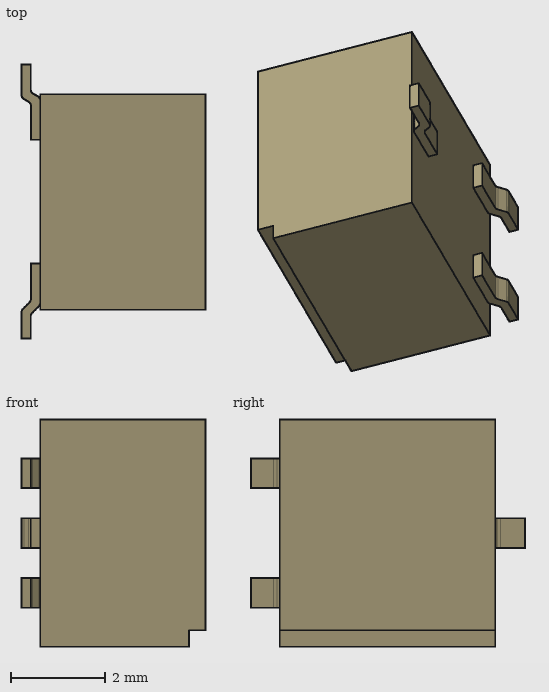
import cadquery as cq
import math

body_depth = 3.51
body_width = 4.58
body_height = 4.83
notch_size = 0.35

lead_thickness = 0.2
lead_width = 0.635
lead_length = 1.6
bend_radius = 0.1
front_lead_pitch = 2.54

front_overhang = 0.61
front_pad_length = 0.8
front_bend_angle = 45

rear_overhang = 0.63
rear_pad_length = 0.78
rear_bend_angle = 60


def make_body():
    block = cq.Workplane("XY").box(body_depth, body_width, body_height, centered=(False, True, True))
    notch = (
        cq.Workplane("XY")
        .box(notch_size, body_width, notch_size, centered=(False, True, False))
        .translate((body_depth - notch_size, 0, -body_height / 2))
    )
    return block.cut(notch)


def make_lead(side, overhang, pad_length, bend_angle, z_center):
    """Lead whose foot projects past the body towards side (+1 for +Y, -1 for -Y)."""
    angle = math.radians(bend_angle)
    pad_end = body_width / 2 + overhang - lead_length
    pad_bend = pad_end + pad_length
    foot_bend = pad_bend + lead_thickness / math.tan(angle)
    foot_end = pad_end + lead_length
    inner_shift = lead_thickness * math.tan(angle / 2)

    face_x = 0
    middle_x = -lead_thickness
    outer_x = -2 * lead_thickness
    bends = [
        (middle_x, pad_bend),
        (outer_x, foot_bend),
        (middle_x, foot_bend + inner_shift),
        (face_x, pad_bend + inner_shift),
    ]
    outline = [
        (face_x, pad_end),
        (middle_x, pad_end),
        bends[0],
        bends[1],
        (outer_x, foot_end),
        (middle_x, foot_end),
        bends[2],
        bends[3],
    ]
    lead = (
        cq.Workplane("XY", origin=(0, 0, z_center - lead_width / 2))
        .polyline([(x, side * y) for x, y in outline])
        .close()
        .extrude(lead_width)
    )
    for x, y in bends:
        bend_edge = cq.selectors.NearestToPointSelector((x, side * y, z_center))
        lead = lead.edges("|Z").edges(bend_edge).fillet(bend_radius)
    return lead


result = make_body().union(make_lead(1, rear_overhang, rear_pad_length, rear_bend_angle, 0))
for z_center in (-front_lead_pitch / 2, front_lead_pitch / 2):
    result = result.union(make_lead(-1, front_overhang, front_pad_length, front_bend_angle, z_center))